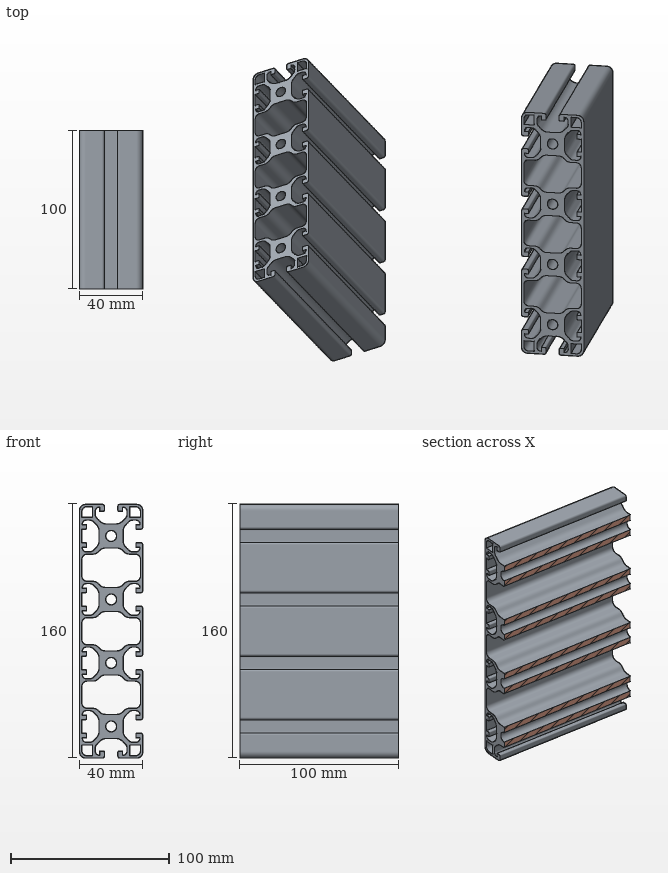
import cadquery as cq
module = 40.0
cell_count = 4
length = 100.0
wall = 1.6
corner_radius = 4.0
bore_diameter = 6.7

opening_half = 4.2
lip_width = 3.0
lip_depth = 4.5
lip_outer_radius = 1.5
lip_inner_radius = 0.8
slot_half = 10.0
slot_floor = 7.7
slot_bevel_offset = 2.2
slot_cover = 2.0
slot_round = 2.4
slot_floor_bend = 5.6
slot_side_bend = 3.2

cavity_edge = slot_half + wall
cavity_bevel_offset = 2.0
core_half = 7.7
cavity_round = 3.2
cavity_bend = 4.8

hollow_edge = 11.8
hollow_round = 3.0

height = module * cell_count
half_cell = module / 2
inner_half = half_cell - wall
cell_centres = [(i - (cell_count - 1) / 2) * module for i in range(cell_count)]
top_cell = cell_centres[-1]
bottom_cell = cell_centres[0]


def extrude_section(points):
    """Prism of the full length over an (x, z) outline."""
    return cq.Workplane("XZ").polyline(points).close().extrude(length / 2, both=True)


def box_section(x_min, x_max, z_min, z_max):
    return extrude_section([(x_min, z_min), (x_max, z_min), (x_max, z_max), (x_min, z_max)])


def place(body, angle, z_centre):
    """Turn a +X facing body about Y, then move it to its cell."""
    return body.rotate((0, 0, 0), (0, 1, 0), angle).translate((0, 0, z_centre))


def slot_chamber():
    """Hollow of a slot that faces +X, without its mouth."""
    chamber_top = half_cell - slot_cover
    floor_half = slot_floor - slot_bevel_offset
    flank_end = slot_half + slot_bevel_offset
    chamber = extrude_section([
        (slot_floor, -floor_half),
        (flank_end, -slot_half),
        (chamber_top, -slot_half),
        (chamber_top, slot_half),
        (flank_end, slot_half),
        (slot_floor, floor_half),
    ])
    chamber = chamber.edges("|Y").edges("not(<X or >X)").fillet(slot_side_bend)
    chamber = chamber.edges("|Y").edges("<X").fillet(slot_floor_bend)
    return chamber.edges("|Y").edges(">X").fillet(slot_round)


def slot_mouth(outer_x):
    """Gap between the lips, from the chamber out to outer_x, wide enough for the rounded lips."""
    mouth_half = opening_half + lip_outer_radius
    return box_section(half_cell - lip_depth, outer_x, -mouth_half, mouth_half)


def slot_lips():
    """Pair of lips beside the mouth, rounded on the corners that face it."""
    upper = box_section(half_cell - lip_depth, half_cell, opening_half, opening_half + lip_width)
    upper = upper.edges("|Y").edges("<Z and >X").fillet(lip_outer_radius)
    upper = upper.edges("|Y").edges("<Z and <X").fillet(lip_inner_radius)
    return upper.union(upper.mirror("XY"))


def cavity():
    """Hollow between two neighbouring cells, centred at the origin."""
    flat = half_cell - cavity_edge
    deep = half_cell - core_half
    bevel_outer = cavity_edge - cavity_bevel_offset
    bevel_inner = core_half - cavity_bevel_offset
    upper = [
        (inner_half, flat),
        (bevel_outer, flat),
        (bevel_inner, deep),
        (-bevel_inner, deep),
        (-bevel_outer, flat),
        (-inner_half, flat),
    ]
    lower = [(-x, -z) for x, z in upper]
    hollow = extrude_section(upper + lower)
    hollow = hollow.edges("|Y").edges("not(<X or >X)").fillet(cavity_bend)
    return hollow.edges("|Y").edges("<X or >X").fillet(cavity_round)


def corner_hollow():
    """Square hollow in the +X, +Z corner of a cell."""
    hollow = box_section(hollow_edge, inner_half, hollow_edge, inner_half)
    return hollow.edges("|Y").edges(">X and >Z").fillet(hollow_round)


result = cq.Workplane("XY").box(module, length, height).edges("|Y").fillet(corner_radius)

open_slots = [(0, z) for z in cell_centres]
open_slots += [(-90, top_cell), (90, bottom_cell)]
closed_slots = [(180, z) for z in cell_centres]

slots = [(angle, z, half_cell) for angle, z in open_slots]
slots += [(angle, z, inner_half) for angle, z in closed_slots]
for angle, z, mouth_x in slots:
    result = result.cut(place(slot_chamber(), angle, z))
    result = result.cut(place(slot_mouth(mouth_x), angle, z))
    result = result.union(place(slot_lips(), angle, z))

for z in cell_centres[:-1]:
    result = result.cut(cavity().translate((0, 0, z + half_cell)))

for angle, z in [(0, top_cell), (-90, top_cell), (90, bottom_cell), (180, bottom_cell)]:
    result = result.cut(place(corner_hollow(), angle, z))

for z in cell_centres:
    bore = cq.Workplane("XZ").center(0, z).circle(bore_diameter / 2).extrude(length / 2, both=True)
    result = result.cut(bore)